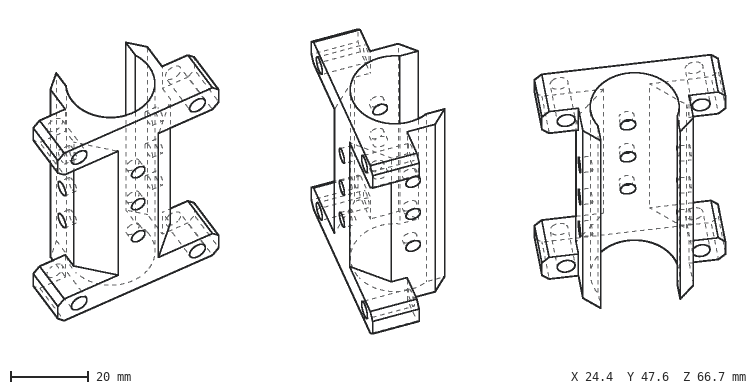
import cadquery as cq
import math

depth = 24.35
width = 47.6
height = 66.7

body_apothem = 14.35
bore_radius = 11.4
axis_x = depth - body_apothem
half_side = body_apothem * math.tan(math.pi / 8)
mouth_half_width = body_apothem - (axis_x - half_side)

bar_front_x = 11.7
bar_height = 8.7
bar_chamfer = 1.9
mount_hole_diameter = 4.6
mount_hole_spacing = 35.0

cross_hole_diameter = 3.95
cross_hole_pitch = 12.75
cross_hole_count = 3


def make_body():
    """Octagonal prism cut off at X = 0, where the mouth meets the 45 degree flats."""
    half_outline = [
        (0, mouth_half_width),
        (axis_x - half_side, body_apothem),
        (axis_x + half_side, body_apothem),
        (depth, half_side),
    ]
    mirrored = [(x, -y) for x, y in reversed(half_outline)]
    return cq.Workplane("XY").polyline(half_outline + mirrored).close().extrude(height)


def make_bar(bottom_z):
    """Full-width bar with chamfered outer corners."""
    return (
        cq.Workplane("XY")
        .box(depth - bar_front_x, width, bar_height, centered=(False, True, False))
        .edges("|X")
        .chamfer(bar_chamfer)
        .translate((bar_front_x, 0, bottom_z))
    )


def make_bore():
    """Round bore joined to a straight-sided mouth open toward -X."""
    bore = cq.Workplane("XY").center(axis_x, 0).circle(bore_radius).extrude(height)
    mouth = cq.Workplane("XY").box(axis_x, 2 * mouth_half_width, height, centered=(False, True, False))
    return bore.union(mouth)


def make_mount_holes():
    """Holes along X through the four bar ends."""
    spacing_z = height - bar_height
    return (
        cq.Workplane("YZ", origin=(0, 0, height / 2))
        .rarray(mount_hole_spacing, spacing_z, 2, 2)
        .circle(mount_hole_diameter / 2)
        .extrude(depth)
    )


def make_cross_holes():
    """Rows of holes through the back wall and through both side walls, centred on the bore axis."""
    centers = [(0, (i - (cross_hole_count - 1) / 2) * cross_hole_pitch) for i in range(cross_hole_count)]
    radius = cross_hole_diameter / 2
    middle = (axis_x, 0, height / 2)
    back_row = cq.Workplane("YZ", origin=middle).pushPoints(centers).circle(radius).extrude(body_apothem)
    side_rows = (
        cq.Workplane("XZ", origin=middle)
        .pushPoints(centers)
        .circle(radius)
        .extrude(body_apothem, both=True)
    )
    return back_row.union(side_rows)


result = make_body()
for bar_bottom in (0, height - bar_height):
    result = result.union(make_bar(bar_bottom))
result = result.cut(make_bore()).cut(make_mount_holes()).cut(make_cross_holes())